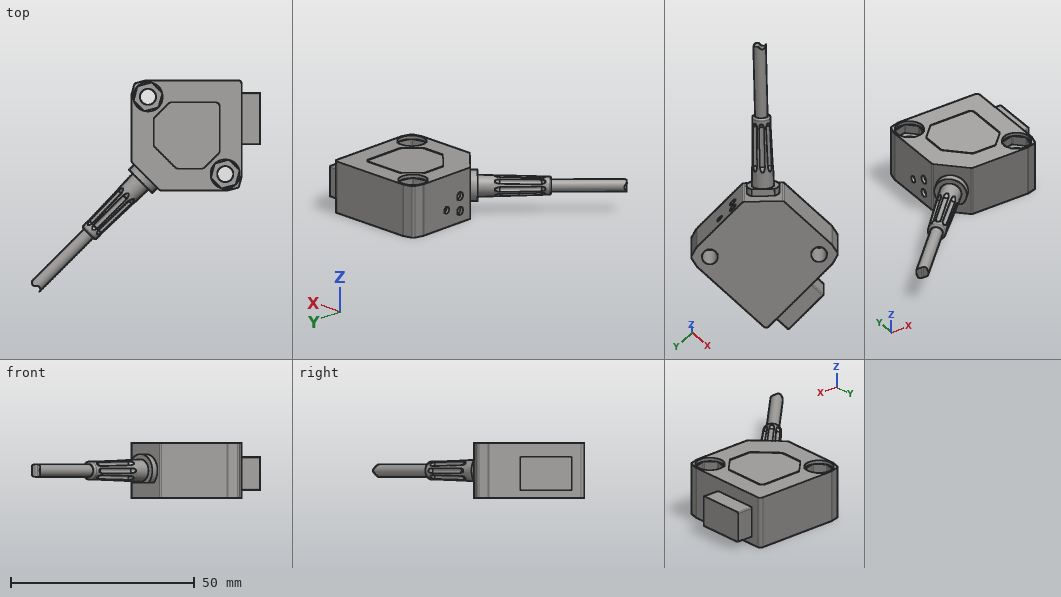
import cadquery as cq
import math

SIDE = 30.0
HEIGHT = 15.0
CABLE_CHAMFER = 7.8
CABLE_CHAMFER_ROUND = 0.8
PLAIN_CORNER_ROUND = 1.0
EAR_ANGLE = 15.0
EAR_REACH = 3.9
EAR_TIP_ROUND = 0.8
EAR_SIDE_ROUND = 1.0

HOLE_INSET = 4.5
HOLE_DIAMETER = 4.3
RECESS_DIAMETER = 8.0
RECESS_DEPTH = 1.0
NUT_ACROSS_FLATS = 7.0
NUT_CORNER_ROUND = 0.35
NUT_POCKET_DEPTH = 3.7
CORNER_DIRECTION = 135.0

LABEL_INSET = 6.0
LABEL_CABLE_CHAMFER = 6.2
LABEL_HOLE_CHAMFER = 4.4
LABEL_ROUND = 1.2
LABEL_DEPTH = 0.2

BLOCK_LENGTH = 5.0
BLOCK_WIDTH = 14.0
BLOCK_HEIGHT = 9.0
BLOCK_BOTTOM = 2.2
BLOCK_BACK_GAP = 3.4
BLOCK_ROUND = 0.3

INDICATORS = [(17.0, 5.0, 1.9), (11.8, 7.7, 2.3), (11.8, 3.4, 2.3)]
INDICATOR_DEPTH = 1.0

OUTLET_DIRECTION = 225.0
COLLAR_RADIUS = 4.5
COLLAR_LENGTH = 2.0
COLLAR_FLAT_Z = 4.25
SLEEVE_BASE_RADIUS = 3.05
SLEEVE_END_RADIUS = 2.5
SLEEVE_END = 22.0
SLEEVE_END_ROUND = 0.5
CABLE_RADIUS = 1.75
CABLE_LENGTH = 42.2
BREAK_TILT = 0.6
BREAK_WAVE = 0.4
BREAK_FLAT = 0.28

GROOVE_COUNT = 8
GROOVE_RADIUS = 0.7
GROOVE_START = 8.2
GROOVE_END = 19.25
GROOVE_BASE_RAMP = 28.0
GROOVE_CABLE_RAMP = 33.0
GROOVE_RAMP_RUN = 3.0


def make_housing():
    ear_slope = math.tan(math.radians(EAR_ANGLE))
    tip = EAR_REACH * ear_slope / (1 + ear_slope)
    far_tip = SIDE - tip
    far_reach = SIDE - EAR_REACH
    outline = [
        (CABLE_CHAMFER, 0), (far_reach, 0), (far_tip, tip), (SIDE, EAR_REACH),
        (SIDE, SIDE),
        (EAR_REACH, SIDE), (tip, far_tip), (0, far_reach), (0, CABLE_CHAMFER),
    ]
    body = cq.Workplane("XY").polyline(outline).close().extrude(HEIGHT)

    def round_edges(solid, corners, radius):
        for x, y in corners:
            edge = cq.selectors.NearestToPointSelector((x, y, HEIGHT / 2))
            solid = solid.edges("|Z").edges(edge).fillet(radius)
        return solid

    body = round_edges(body, [outline[0], outline[8]], CABLE_CHAMFER_ROUND)
    body = round_edges(body, [outline[2], outline[6]], EAR_TIP_ROUND)
    body = round_edges(body, [outline[1], outline[3], outline[5], outline[7]], EAR_SIDE_ROUND)
    return round_edges(body, [outline[4]], PLAIN_CORNER_ROUND)


def make_screw_cutter():
    nut_corner_diameter = NUT_ACROSS_FLATS / math.cos(math.pi / 6)
    through = cq.Workplane("XY").circle(HOLE_DIAMETER / 2).extrude(HEIGHT)
    recess = (
        cq.Workplane("XY").workplane(offset=HEIGHT - RECESS_DEPTH)
        .circle(RECESS_DIAMETER / 2).extrude(RECESS_DEPTH)
    )
    pocket = (
        cq.Workplane("XY").workplane(offset=HEIGHT - NUT_POCKET_DEPTH)
        .polygon(6, nut_corner_diameter).extrude(NUT_POCKET_DEPTH - RECESS_DEPTH)
        .edges("|Z").fillet(NUT_CORNER_ROUND)
        .rotate((0, 0, 0), (0, 0, 1), CORNER_DIRECTION)
    )
    return through.union(recess).union(pocket)


def make_label_cutter():
    low = LABEL_INSET
    high = SIDE - LABEL_INSET
    outline = [
        (low + LABEL_CABLE_CHAMFER, low), (high - LABEL_HOLE_CHAMFER, low),
        (high, low + LABEL_HOLE_CHAMFER), (high, high),
        (low + LABEL_HOLE_CHAMFER, high), (low, high - LABEL_HOLE_CHAMFER),
        (low, low + LABEL_CABLE_CHAMFER),
    ]
    return (
        cq.Workplane("XY").workplane(offset=HEIGHT - LABEL_DEPTH)
        .polyline(outline).close().extrude(LABEL_DEPTH)
        .edges("|Z").fillet(LABEL_ROUND)
    )


def make_block():
    corner = (SIDE, SIDE - BLOCK_BACK_GAP - BLOCK_WIDTH, BLOCK_BOTTOM)
    return (
        cq.Workplane("XY").box(BLOCK_LENGTH, BLOCK_WIDTH, BLOCK_HEIGHT, centered=False)
        .edges("|X").fillet(BLOCK_ROUND)
        .translate(corner)
    )


def make_indicator_cutter(y, z, diameter):
    return (
        cq.Workplane("YZ").center(y, z)
        .circle(diameter / 2).extrude(INDICATOR_DEPTH)
    )


def make_sleeve():
    return (
        cq.Workplane("XY")
        .polyline([
            (0, 0), (0, SLEEVE_BASE_RADIUS), (COLLAR_LENGTH, SLEEVE_BASE_RADIUS),
            (SLEEVE_END, SLEEVE_END_RADIUS), (SLEEVE_END, 0),
        ])
        .close()
        .revolve(360, (0, 0, 0), (1, 0, 0))
        .faces(">X").edges().fillet(SLEEVE_END_ROUND)
    )


def make_groove_cutter():
    slope = (SLEEVE_END_RADIUS - SLEEVE_BASE_RADIUS) / (SLEEVE_END - COLLAR_LENGTH)

    def sleeve_radius(x):
        return SLEEVE_BASE_RADIUS + slope * (x - COLLAR_LENGTH)

    base_rise = GROOVE_RAMP_RUN * math.tan(math.radians(GROOVE_BASE_RAMP))
    cable_rise = GROOVE_RAMP_RUN * math.tan(math.radians(GROOVE_CABLE_RAMP))
    path_points = [
        (GROOVE_START - GROOVE_RAMP_RUN, sleeve_radius(GROOVE_START) + base_rise),
        (GROOVE_START, sleeve_radius(GROOVE_START)),
        (GROOVE_END, sleeve_radius(GROOVE_END)),
        (GROOVE_END + GROOVE_RAMP_RUN, sleeve_radius(GROOVE_END) + cable_rise),
    ]
    path = cq.Workplane("XZ").polyline(path_points)
    start_x, start_z = path_points[0]
    profile_plane = cq.Plane(
        origin=(start_x, 0, start_z), xDir=(0, 1, 0), normal=(GROOVE_RAMP_RUN, 0, -base_rise)
    )
    return cq.Workplane(profile_plane).circle(GROOVE_RADIUS).sweep(path, transition="right")


def make_cable():
    crest_y = (CABLE_RADIUS + BREAK_FLAT) / 2
    broken_side = (
        cq.Workplane("XY")
        .moveTo(0, CABLE_RADIUS)
        .lineTo(CABLE_LENGTH + BREAK_TILT, CABLE_RADIUS)
        .threePointArc((CABLE_LENGTH - BREAK_WAVE, crest_y), (CABLE_LENGTH - BREAK_FLAT, BREAK_FLAT))
        .lineTo(CABLE_LENGTH + BREAK_FLAT, -BREAK_FLAT)
        .threePointArc((CABLE_LENGTH + BREAK_WAVE, -crest_y), (CABLE_LENGTH - BREAK_TILT, -CABLE_RADIUS))
        .lineTo(0, -CABLE_RADIUS)
        .close()
        .extrude(CABLE_RADIUS, both=True)
    )
    rod = cq.Workplane("YZ").circle(CABLE_RADIUS).extrude(CABLE_LENGTH + CABLE_RADIUS)
    return rod.intersect(broken_side)


def make_outlet():
    axis_z = HEIGHT / 2
    collar = cq.Workplane("YZ").circle(COLLAR_RADIUS).extrude(COLLAR_LENGTH)
    below_flat = (
        cq.Workplane("XY").workplane(offset=COLLAR_FLAT_Z - axis_z)
        .rect(2 * COLLAR_LENGTH, 2 * COLLAR_RADIUS).extrude(-COLLAR_RADIUS)
    )
    sleeve = make_sleeve()
    groove = make_groove_cutter()
    for index in range(GROOVE_COUNT):
        sleeve = sleeve.cut(groove.rotate((0, 0, 0), (1, 0, 0), index * 360 / GROOVE_COUNT))
    outlet = collar.cut(below_flat).union(sleeve).union(make_cable())
    return (
        outlet.rotate((0, 0, 0), (0, 0, 1), OUTLET_DIRECTION)
        .translate((CABLE_CHAMFER / 2, CABLE_CHAMFER / 2, axis_z))
    )


housing = make_housing().cut(make_label_cutter())
screw = make_screw_cutter()
for position in [(HOLE_INSET, SIDE - HOLE_INSET), (SIDE - HOLE_INSET, HOLE_INSET)]:
    housing = housing.cut(screw.translate(position + (0,)))
for indicator in INDICATORS:
    housing = housing.cut(make_indicator_cutter(*indicator))

result = housing.union(make_block()).union(make_outlet())